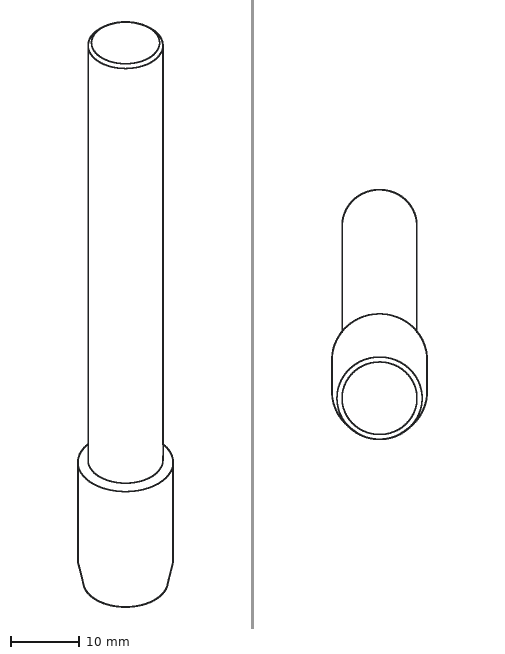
import cadquery as cq

total_length = 100.0
rod_radius = 5.5
rod_chamfer = 0.5

sleeve_radius = 7.0
shoulder_height = 22.45
shoulder_drop = 0.4
rim_height = shoulder_height - shoulder_drop

lead_in_height = 3.9
lead_in_depth = 0.75
lead_in_end_radius = sleeve_radius - lead_in_depth


def make_rod():
    """Plain round rod, chamfered at its free upper end."""
    rod_blank = cq.Workplane("XY").circle(rod_radius).extrude(total_length)
    return rod_blank.faces(">Z").chamfer(rod_chamfer)


def make_sleeve():
    """Ring with a through bore for the rod, a sloping shoulder and a tapered lead-in."""
    half_section = [
        (rod_radius, 0),
        (lead_in_end_radius, 0),
        (sleeve_radius, lead_in_height),
        (sleeve_radius, rim_height),
        (rod_radius, shoulder_height),
    ]
    return (
        cq.Workplane("XZ")
        .polyline(half_section)
        .close()
        .revolve(360, (0, 0, 0), (0, 1, 0))
    )


rod = make_rod()
sleeve = make_sleeve()

result = cq.Compound.makeCompound([rod.val(), sleeve.val()])